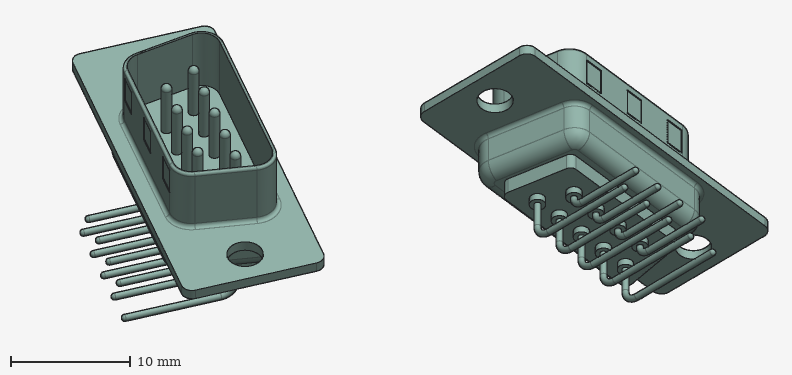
import cadquery as cq
import math


FLANGE_LENGTH = 30.8
FLANGE_WIDTH = 12.55
FLANGE_THICKNESS = 0.95
FLANGE_CORNER_RADIUS = 0.92
MOUNT_HOLE_SPACING = 25.0
MOUNT_HOLE_DIAMETER = 3.05

SIDE_SLANT = math.radians(10)
SHELL_ROOT_FILLET = 0.37
SELECT_MARGIN = 0.03

SHELL_WIDTH = 16.9
SHELL_DEPTH = 9.05
SHELL_CORNER_RADIUS = 1.95
SHELL_HEIGHT = 5.98
SHELL_WALL = 0.35
SHELL_RIM_FILLET = 0.25

RECESS_COUNT = 3
RECESS_PITCH = 5.08
RECESS_WIDTH = 1.8
RECESS_HEIGHT = 2.53
RECESS_TOP = 5.18
RECESS_DEPTH = 0.1

BACK_WIDTH = 17.93
BACK_DEPTH = 10.72
BACK_CORNER_RADIUS = 1.7
BACK_BOTTOM = -5.02
BACK_BOTTOM_FILLET = 1.3

BLOCK_WIDTH = 14.67
BLOCK_DEPTH = 6.95
BLOCK_CORNER_RADIUS = 0.65
BLOCK_BOTTOM = -6.53

CONTACT_PITCH = 2.77
ROW_SPACING = 2.85
PIN_DIAMETER = 0.92
PIN_TOP = 5.15
COLLAR_DIAMETER = CONTACT_PITCH / 2
COLLAR_BOTTOM = -7.18
LEAD_DIAMETER = 0.62
LEAD_REACH = 2.35
LEAD_TIP_Y = -FLANGE_WIDTH / 2 - LEAD_REACH

BACK_ROW = (5, ROW_SPACING / 2, -10.95, 1.3)
FRONT_ROW = (4, -ROW_SPACING / 2, -8.15, 0.9)


def d_prism(width, depth, corner_radius, bottom, top):
    """Upright prism with a rounded D outline, wider towards +Y."""
    half_depth = depth / 2
    slant_shift = half_depth * math.tan(SIDE_SLANT)
    wide_half = width / 2 + slant_shift
    narrow_half = width / 2 - slant_shift
    corners = [
        (-wide_half, half_depth),
        (wide_half, half_depth),
        (narrow_half, -half_depth),
        (-narrow_half, -half_depth),
    ]
    prism = cq.Workplane("XY").workplane(offset=bottom).polyline(corners).close().extrude(top - bottom)
    return prism.edges("|Z").fillet(corner_radius)


def cylinder(x, y, diameter, bottom, top):
    """Upright cylinder between two heights."""
    return cq.Workplane("XY", origin=(x, y, bottom)).circle(diameter / 2).extrude(top - bottom)


def centred_positions(count, pitch):
    """Evenly spaced positions along X, centred on zero."""
    return [(i - (count - 1) / 2) * pitch for i in range(count)]


def make_flange():
    flange = (
        cq.Workplane("XY")
        .rect(FLANGE_LENGTH, FLANGE_WIDTH)
        .extrude(-FLANGE_THICKNESS)
        .edges("|Z")
        .fillet(FLANGE_CORNER_RADIUS)
    )
    holes = (
        cq.Workplane("XY")
        .pushPoints([(-MOUNT_HOLE_SPACING / 2, 0), (MOUNT_HOLE_SPACING / 2, 0)])
        .circle(MOUNT_HOLE_DIAMETER / 2)
        .extrude(-FLANGE_THICKNESS)
    )
    return flange.cut(holes)


def make_housing():
    """Flange with the two shells, still solid, blended into it."""
    shell = d_prism(SHELL_WIDTH, SHELL_DEPTH, SHELL_CORNER_RADIUS, 0, SHELL_HEIGHT)
    shell = shell.faces(">Z").edges().fillet(SHELL_RIM_FILLET)
    back = d_prism(BACK_WIDTH, BACK_DEPTH, BACK_CORNER_RADIUS, BACK_BOTTOM, -FLANGE_THICKNESS)
    back = back.faces("<Z").edges().fillet(BACK_BOTTOM_FILLET)
    housing = make_flange().union(shell).union(back)

    reach_x = (MOUNT_HOLE_SPACING - MOUNT_HOLE_DIAMETER) / 2
    reach_y = FLANGE_WIDTH / 2 - SELECT_MARGIN
    root_edges = housing.edges(
        cq.selectors.BoxSelector(
            (-reach_x, -reach_y, -FLANGE_THICKNESS - SELECT_MARGIN),
            (reach_x, reach_y, SELECT_MARGIN),
            boundingbox=True,
        )
    )
    return root_edges.fillet(SHELL_ROOT_FILLET)


def make_shell_cavity():
    """Inside of the open shell, down to the top of the flange."""
    inner_width = SHELL_WIDTH - 2 * SHELL_WALL / math.cos(SIDE_SLANT)
    inner_depth = SHELL_DEPTH - 2 * SHELL_WALL
    return d_prism(inner_width, inner_depth, SHELL_CORNER_RADIUS - SHELL_WALL, 0, SHELL_HEIGHT)


def make_recesses():
    centre_z = RECESS_TOP - RECESS_HEIGHT / 2
    return (
        cq.Workplane("XZ", origin=(0, -SHELL_DEPTH / 2, 0))
        .pushPoints([(x, centre_z) for x in centred_positions(RECESS_COUNT, RECESS_PITCH)])
        .rect(RECESS_WIDTH, RECESS_HEIGHT)
        .extrude(-RECESS_DEPTH)
    )


def make_lead(x, y, axis_z, bend_radius):
    """Round lead that leaves the block downwards and bends towards -Y, with a rounded tip."""
    bend_offset = bend_radius * (1 - math.sqrt(0.5))
    path = (
        cq.Workplane("YZ", origin=(x, 0, 0))
        .moveTo(y, BLOCK_BOTTOM)
        .lineTo(y, axis_z + bend_radius)
        .threePointArc((y - bend_offset, axis_z + bend_offset), (y - bend_radius, axis_z))
        .lineTo(LEAD_TIP_Y + LEAD_DIAMETER / 2, axis_z)
    )
    wire = cq.Workplane("XY", origin=(x, y, BLOCK_BOTTOM)).circle(LEAD_DIAMETER / 2).sweep(path)
    tip = cq.Workplane("XY", origin=(x, LEAD_TIP_Y + LEAD_DIAMETER / 2, axis_z)).sphere(LEAD_DIAMETER / 2)
    return wire.union(tip)


def make_contact_pieces(x, y, axis_z, bend_radius):
    """Pin rooted in the flange, its domed tip, the collar under the block and the lead."""
    pin_shoulder = PIN_TOP - PIN_DIAMETER / 2
    pin = cylinder(x, y, PIN_DIAMETER, -FLANGE_THICKNESS, pin_shoulder)
    pin_tip = cq.Workplane("XY", origin=(x, y, pin_shoulder)).sphere(PIN_DIAMETER / 2)
    collar = cylinder(x, y, COLLAR_DIAMETER, COLLAR_BOTTOM, BLOCK_BOTTOM)
    lead = make_lead(x, y, axis_z, bend_radius)
    return pin, pin_tip, collar, lead


block = d_prism(BLOCK_WIDTH, BLOCK_DEPTH, BLOCK_CORNER_RADIUS, BLOCK_BOTTOM, BACK_BOTTOM)
result = make_housing().cut(make_shell_cavity()).cut(make_recesses()).union(block)
for count, row_y, lead_z, lead_bend in (BACK_ROW, FRONT_ROW):
    for contact_x in centred_positions(count, CONTACT_PITCH):
        for piece in make_contact_pieces(contact_x, row_y, lead_z, lead_bend):
            result = result.union(piece)